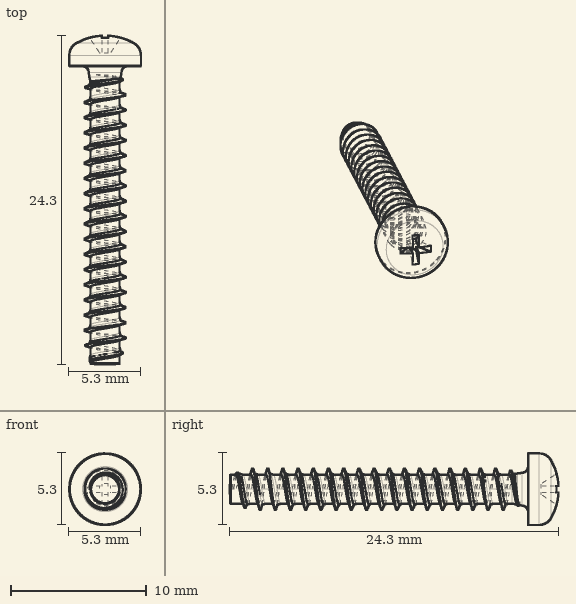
import math

import cadquery as cq


HEAD_RADIUS = 2.65
HEAD_HEIGHT = 2.282
RIM_HEIGHT = 0.82
SHOULDER_RADIUS = 1.03
UNDERSIDE_EDGE = 0.05

RECESS_WIDTH = 0.46
RECESS_HALF_LENGTH = 1.25
RECESS_BOTTOM_HALF_LENGTH = 0.4
RECESS_DEPTH = 1.3

SHANK_LENGTH = 22.0
NECK_RADIUS = 1.22
NECK_FILLET = 0.44
NECK_END_RADIUS = 1.17
NECK_LENGTH = 0.77
NECK_TAPER_LENGTH = 0.4
CORE_RADIUS = 1.08
TIP_RADIUS = 1.03
TIP_TAPER_END = 0.12
TIP_CONE_HEIGHT = 0.05

PITCH = 1.12
THREAD_RADIUS = 1.525
CREST_HALF_WIDTH = 0.015
HEAD_FLANK_OFFSET = 0.2
HEAD_FLANK_RADIUS = 1.14
HEAD_FOOT_OFFSET = 0.4
TIP_FLANK_OFFSET = -0.155
BURIED_DEPTH = 0.03
BURIED_RADIUS = CORE_RADIUS - BURIED_DEPTH
RUNOUT_RADIUS = 1.15
RUNOUT_TURNS = 1.2
FIRST_TURN = 0.0
LAST_TURN = 19.0
ZERO_TURN_Y = 0.30 - SHANK_LENGTH
POINTS_PER_TURN = 20


def screw_blank():
    """Head and unthreaded shank, revolved about Y."""
    shoulder_x = HEAD_RADIUS - SHOULDER_RADIUS
    crown_rise = HEAD_HEIGHT - RIM_HEIGHT
    crown_radius = (shoulder_x**2 + crown_rise**2 - SHOULDER_RADIUS**2) / (
        2 * (crown_rise - SHOULDER_RADIUS)
    )
    crown_y = HEAD_HEIGHT - crown_radius
    tangent_angle = math.asin(shoulder_x / (crown_radius - SHOULDER_RADIUS))

    def crown_point(angle):
        return (crown_radius * math.sin(angle), crown_y + crown_radius * math.cos(angle))

    shoulder_middle_angle = (tangent_angle + math.pi / 2) / 2
    shoulder_middle = (
        shoulder_x + SHOULDER_RADIUS * math.sin(shoulder_middle_angle),
        RIM_HEIGHT + SHOULDER_RADIUS * math.cos(shoulder_middle_angle),
    )
    fillet_inset = NECK_FILLET * (1 - math.sqrt(0.5))

    return (
        cq.Workplane("XY")
        .moveTo(0, HEAD_HEIGHT)
        .threePointArc(crown_point(tangent_angle / 2), crown_point(tangent_angle))
        .threePointArc(shoulder_middle, (HEAD_RADIUS, RIM_HEIGHT))
        .lineTo(HEAD_RADIUS, UNDERSIDE_EDGE)
        .lineTo(HEAD_RADIUS - UNDERSIDE_EDGE, 0)
        .lineTo(NECK_RADIUS + NECK_FILLET, 0)
        .threePointArc(
            (NECK_RADIUS + fillet_inset, -fillet_inset), (NECK_RADIUS, -NECK_FILLET)
        )
        .lineTo(NECK_END_RADIUS, -NECK_LENGTH)
        .lineTo(CORE_RADIUS, -NECK_LENGTH - NECK_TAPER_LENGTH)
        .lineTo(CORE_RADIUS, TIP_TAPER_END - SHANK_LENGTH)
        .lineTo(TIP_RADIUS, TIP_CONE_HEIGHT - SHANK_LENGTH)
        .lineTo(0, -SHANK_LENGTH)
        .close()
        .revolve(360, (0, 0, 0), (0, 1, 0))
    )


def cross_recess():
    """Two crossed slots whose ends taper inward toward the bottom."""
    bottom_y = HEAD_HEIGHT - RECESS_DEPTH
    slot = (
        cq.Workplane("XY")
        .moveTo(-RECESS_HALF_LENGTH, HEAD_HEIGHT)
        .lineTo(-RECESS_BOTTOM_HALF_LENGTH, bottom_y)
        .lineTo(RECESS_BOTTOM_HALF_LENGTH, bottom_y)
        .lineTo(RECESS_HALF_LENGTH, HEAD_HEIGHT)
        .close()
        .extrude(RECESS_WIDTH / 2, both=True)
    )
    return slot.union(slot.rotate((0, 0, 0), (0, 1, 0), 90))


def crest_radius(turn):
    """Full thread radius, falling off evenly over the run-out at each end."""
    turns_to_end = min(turn - FIRST_TURN, LAST_TURN - turn)
    share = min(1, turns_to_end / RUNOUT_TURNS)
    return RUNOUT_RADIUS + share * (THREAD_RADIUS - RUNOUT_RADIUS)


def constant(radius):
    """Radius rule for an edge that keeps its distance from the axis."""
    return lambda turn: radius


def buried_offset(outer_offset, outer_radius, core_offset):
    """Offset at which a slope that meets the core at core_offset reaches the buried radius."""
    offset_per_radius = (core_offset - outer_offset) / (outer_radius - CORE_RADIUS)
    return core_offset + offset_per_radius * (CORE_RADIUS - BURIED_RADIUS)


def helix_edge(radius_at, offset):
    """Right-hand helical edge about Y, shifted along Y by offset."""
    count = math.ceil((LAST_TURN - FIRST_TURN) * POINTS_PER_TURN)
    points = []
    for i in range(count + 1):
        turn = FIRST_TURN + (LAST_TURN - FIRST_TURN) * i / count
        angle = 2 * math.pi * turn
        radius = radius_at(turn)
        points.append(
            cq.Vector(
                -radius * math.cos(angle),
                ZERO_TURN_Y + PITCH * turn + offset,
                radius * math.sin(angle),
            )
        )
    return cq.Edge.makeSpline(points)


def thread_ridge():
    """Solid bounded by ruled helical faces and a flat cap at each end."""
    tip_buried_offset = buried_offset(-CREST_HALF_WIDTH, THREAD_RADIUS, TIP_FLANK_OFFSET)
    head_buried_offset = buried_offset(HEAD_FLANK_OFFSET, HEAD_FLANK_RADIUS, HEAD_FOOT_OFFSET)
    edges = [
        helix_edge(constant(BURIED_RADIUS), tip_buried_offset),
        helix_edge(crest_radius, -CREST_HALF_WIDTH),
        helix_edge(crest_radius, CREST_HALF_WIDTH),
        helix_edge(constant(HEAD_FLANK_RADIUS), HEAD_FLANK_OFFSET),
        helix_edge(constant(BURIED_RADIUS), head_buried_offset),
    ]
    faces = [
        cq.Face.makeRuledSurface(edge, following)
        for edge, following in zip(edges, edges[1:] + edges[:1])
    ]
    for end in (0, 1):
        corners = [edge.positionAt(end) for edge in edges]
        faces.append(cq.Face.makeFromWires(cq.Wire.makePolygon(corners, close=True)))
    return cq.Workplane(obj=cq.Solid.makeSolid(cq.Shell.makeShell(faces)))


result = screw_blank().cut(cross_recess()).union(thread_ridge()).solids()